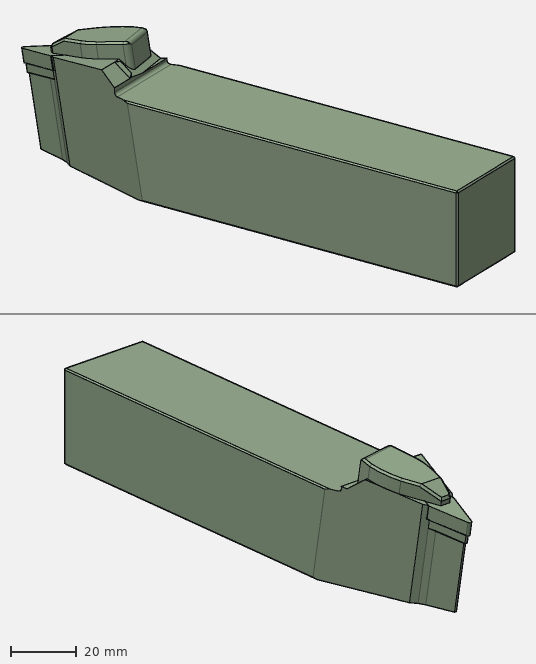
import cadquery as cq
import math

TOTAL_LENGTH = 170.0
SHANK_WIDTH = 32.0
SHANK_HEIGHT = 32.0
SHANK_CHAMFER = 0.5
HALF_WIDTH = SHANK_WIDTH / 2

TILT = 10.0
SIN_TILT = math.sin(math.radians(TILT))
COS_TILT = math.cos(math.radians(TILT))
TAN_TILT = math.tan(math.radians(TILT))

INSERT_ANGLE = 35.0
INSCRIBED_DIAMETER = 9.525
INSERT_THICKNESS = 4.76
NOSE_RADIUS = 0.8
SIN_HALF = math.sin(math.radians(INSERT_ANGLE / 2))
COS_HALF = math.cos(math.radians(INSERT_ANGLE / 2))
HALF_LONG_DIAGONAL = INSCRIBED_DIAMETER / (2 * SIN_HALF)
HALF_SHORT_DIAGONAL = INSCRIBED_DIAMETER / (2 * COS_HALF)
INSERT_CENTRE = HALF_LONG_DIAGONAL - (NOSE_RADIUS / SIN_HALF - NOSE_RADIUS)

SHIM_THICKNESS = 3.18
SHIM_NOSE = (0.9, 0.5)
SHIM_BACK = (13.6, 4.35)

HEAD_NOSE = (1.5, 0.4)
NECK_FRONT = (11.3, 3.3)
CHEEK_FRONT = (15.7, 6.0)
CHEEK_ANGLE = 17.0
CHEEK_LENGTH = (HALF_WIDTH - CHEEK_FRONT[1]) / math.tan(math.radians(CHEEK_ANGLE))
SHANK_FRONT = (CHEEK_FRONT[0] + CHEEK_LENGTH, HALF_WIDTH)

CREST_X = 37.8
CREST_Z = SHANK_HEIGHT + CREST_X * TAN_TILT
STEP_X = 43.5
STEP_Z = 34.6
STEP_FILLET = 1.2

RELIEF_SIDE_Y = -5.2
RELIEF_RAMP_WIDTH = 1.3
RELIEF_RAMP_HEIGHT = 0.7
RELIEF_SLOPE = 45.0
RELIEF_DEPTH = 5.7

CLAMP_YAW = 9.0
CLAMP_HEIGHT = 5.29
CLAMP_CHAMFER = 0.7
CLAMP_CORNER_RADIUS = 2.0
CLAMP_REAR_RADIUS = 1.5
CLAMP_NOSE = 12.2
CLAMP_NOSE_HEIGHT = 2.3
CLAMP_SLOPE_END = 18.7
CLAMP_HEEL_FRONT = 33.0
CLAMP_HEEL_DEPTH = 4.0

CLAMP_NOSE_LEFT = (CLAMP_NOSE, 1.7)
CLAMP_NOSE_RIGHT = (CLAMP_NOSE, -1.9)
CLAMP_NOSE_SHOULDER = (13.4, -2.8)
CLAMP_BELLY_FRONT = (25.5, -4.6)
CLAMP_BELLY = (28.4, -4.75)
CLAMP_BELLY_BACK = (31.4, -4.45)
CLAMP_REAR_RIGHT = (42.0, -2.3)
CLAMP_REAR_WIDTH = 13.1
CLAMP_REAR_LEFT = (
    CLAMP_REAR_RIGHT[0] - CLAMP_REAR_WIDTH * math.tan(math.radians(CLAMP_YAW)),
    CLAMP_REAR_RIGHT[1] + CLAMP_REAR_WIDTH,
)
CLAMP_SIDE_BACK = (35.3, 11.2)
CLAMP_SIDE_MIDDLE = (29.5, 10.3)
CLAMP_SIDE_FRONT = (24.0, 8.4)

REACH = 2 * TOTAL_LENGTH
PRISM_RISE = SHANK_HEIGHT
MARGIN = 20.0


def tilted_plane(height=0.0):
    """Plane tilted with the insert top and raised above it by height, centred on the tip."""
    normal = (-SIN_TILT, 0, COS_TILT)
    origin = (-SIN_TILT * height, 0, SHANK_HEIGHT + COS_TILT * height)
    return cq.Plane(origin=origin, xDir=(COS_TILT, 0, SIN_TILT), normal=normal)


def mirrored_prism(half_outline, top, depth):
    """Prism hanging below the height top, its outline mirrored about the tool axis."""
    other_half = [(u, -v) for u, v in reversed(half_outline)]
    outline = cq.Workplane(tilted_plane(top)).polyline(half_outline + other_half).close()
    return outline.extrude(-depth)


def side_profile(points, start_y, end_y):
    """Solid with an outline in X and Z that spans start_y to end_y."""
    plane = cq.Workplane("XZ", origin=(0, end_y, 0))
    return plane.polyline(points).close().extrude(end_y - start_y)


def yawed_section(u, v, height):
    """Plane across the clamp at a point of the tilted frame, pointing rearward and up."""
    yawed = tilted_plane().rotated((0, 0, CLAMP_YAW))
    origin = tilted_plane().toWorldCoords((u, v, height))
    return cq.Plane(origin=origin, xDir=yawed.xDir, normal=yawed.yDir * -1)


def make_insert():
    """Rhombic insert with rounded acute corners."""
    corners = [
        (INSERT_CENTRE - HALF_LONG_DIAGONAL, 0),
        (INSERT_CENTRE, HALF_SHORT_DIAGONAL),
        (INSERT_CENTRE + HALF_LONG_DIAGONAL, 0),
        (INSERT_CENTRE, -HALF_SHORT_DIAGONAL),
    ]
    rhombus = cq.Workplane(tilted_plane()).polyline(corners).close().extrude(-INSERT_THICKNESS)
    corner_edges = rhombus.edges(cq.selectors.ParallelDirSelector(tilted_plane().zDir))
    return corner_edges.edges("<X or >X").fillet(NOSE_RADIUS)


def make_head_and_shank():
    """Wedge-shaped head that widens into the square shank, stepped down behind the crest."""
    half_plan = [
        HEAD_NOSE, NECK_FRONT, SHIM_BACK, CHEEK_FRONT, SHANK_FRONT, (REACH, HALF_WIDTH),
    ]
    prism = mirrored_prism(half_plan, PRISM_RISE, PRISM_RISE + REACH)
    profile = [
        (0, 0), (TOTAL_LENGTH, 0), (TOTAL_LENGTH, SHANK_HEIGHT), (STEP_X, SHANK_HEIGHT),
        (STEP_X, SHANK_HEIGHT + STEP_X * TAN_TILT), (0, SHANK_HEIGHT),
    ]
    body = prism.intersect(side_profile(profile, -HALF_WIDTH, HALF_WIDTH))
    shank_edges = body.edges("|X").add(body.faces(">X").edges())
    return shank_edges.chamfer(SHANK_CHAMFER)


def make_shim():
    """Shim with a blunt nose that overhangs the head under the insert."""
    half_plan = [SHIM_NOSE, SHIM_BACK]
    return mirrored_prism(half_plan, -INSERT_THICKNESS, SHIM_THICKNESS)


def make_crest_bevel():
    """Cutter that slopes the back of the head down to the step on the -Y side."""
    slope = [
        (CREST_X, CREST_Z), (STEP_X, STEP_Z), (STEP_X + MARGIN, STEP_Z),
        (STEP_X + MARGIN, CREST_Z + MARGIN), (CREST_X, CREST_Z + MARGIN),
    ]
    cutter = side_profile(slope, -HALF_WIDTH, RELIEF_SIDE_Y)
    slope_middle = ((CREST_X + STEP_X) / 2, RELIEF_SIDE_Y, (CREST_Z + STEP_Z) / 2)
    slope_edge = cutter.edges(cq.selectors.NearestToPointSelector(slope_middle))
    return slope_edge.chamfer(RELIEF_RAMP_HEIGHT, RELIEF_RAMP_WIDTH)


def make_clamp_relief():
    """Cutter for the sloped relief behind the clamp, with a floor parallel to the insert top."""
    slope_run = RELIEF_DEPTH / math.tan(math.radians(RELIEF_SLOPE))
    section = [
        (0, 0), (slope_run, -RELIEF_DEPTH), (slope_run + MARGIN, -RELIEF_DEPTH),
        (slope_run + MARGIN, MARGIN), (0, MARGIN),
    ]
    plane = yawed_section(CREST_X / COS_TILT, RELIEF_SIDE_Y, 0)
    cutter = cq.Workplane(plane).polyline(section).close().extrude(SHANK_WIDTH, both=True)
    square = [(0, 0), (REACH, 0), (REACH, REACH), (0, REACH)]
    return cutter.intersect(side_profile(square, RELIEF_SIDE_Y, HALF_WIDTH))


def make_rear_rounding():
    """Cutter that rounds the top rear edge of the clamp."""
    radius = CLAMP_REAR_RADIUS
    bulge = radius * (1 - math.sqrt(0.5))
    return (
        cq.Workplane(yawed_section(*CLAMP_REAR_RIGHT, CLAMP_HEIGHT))
        .moveTo(-radius, 0)
        .threePointArc((-bulge, -bulge), (0, -radius))
        .lineTo(MARGIN, -radius)
        .lineTo(MARGIN, MARGIN)
        .lineTo(-radius, MARGIN)
        .close()
        .extrude(SHANK_WIDTH, both=True)
    )


def make_clamp():
    """Clamp over the rear of the insert, with a sloped nose and a heel down into the relief."""
    outline = (
        cq.Workplane(tilted_plane(-CLAMP_HEEL_DEPTH))
        .moveTo(*CLAMP_NOSE_LEFT)
        .lineTo(*CLAMP_NOSE_RIGHT)
        .lineTo(*CLAMP_NOSE_SHOULDER)
        .lineTo(*CLAMP_BELLY_FRONT)
        .threePointArc(CLAMP_BELLY, CLAMP_BELLY_BACK)
        .lineTo(*CLAMP_REAR_RIGHT)
        .lineTo(*CLAMP_REAR_LEFT)
        .lineTo(*CLAMP_SIDE_BACK)
        .threePointArc(CLAMP_SIDE_MIDDLE, CLAMP_SIDE_FRONT)
        .close()
    )
    frame = tilted_plane()
    upright = cq.selectors.ParallelDirSelector(frame.zDir)
    top = cq.selectors.DirectionMinMaxSelector(frame.zDir, True)
    block = outline.extrude(CLAMP_HEEL_DEPTH + CLAMP_HEIGHT)
    block = block.edges(upright).edges(">X").fillet(CLAMP_CORNER_RADIUS)
    side_plane = cq.Plane(origin=frame.origin, xDir=frame.xDir, normal=(0, -1, 0))
    nose_slope = [
        (0, CLAMP_NOSE_HEIGHT), (CLAMP_NOSE, CLAMP_NOSE_HEIGHT), (CLAMP_SLOPE_END, CLAMP_HEIGHT),
        (CLAMP_SLOPE_END, CLAMP_HEIGHT + MARGIN), (0, CLAMP_HEIGHT + MARGIN),
    ]
    below_seat = [(0, 0), (CLAMP_HEEL_FRONT, 0), (CLAMP_HEEL_FRONT, -MARGIN), (0, -MARGIN)]
    for points in (nose_slope, below_seat):
        cutter = cq.Workplane(side_plane).polyline(points).close().extrude(SHANK_WIDTH, both=True)
        block = block.cut(cutter)

    slope_middle = ((CLAMP_NOSE + CLAMP_SLOPE_END) / 2, 0, (CLAMP_NOSE_HEIGHT + CLAMP_HEIGHT) / 2)
    slope = cq.selectors.NearestToPointSelector(frame.toWorldCoords(slope_middle))
    ridge = block.faces(top).edges("|Y").val()
    rim = block.faces(slope).edges().add(block.faces(top).edges()).vals()
    outer_rim = [edge for edge in rim if not edge.isSame(ridge)]
    block = block.newObject(outer_rim).chamfer(CLAMP_CHAMFER)
    return block.cut(make_rear_rounding())


def make_holder(insert):
    """Toolholder with its shim and clamp, and a seat that fits the insert."""
    holder = make_head_and_shank().cut(make_crest_bevel()).cut(make_clamp_relief())
    step_foot = cq.selectors.NearestToPointSelector((STEP_X, 0, SHANK_HEIGHT))
    holder = holder.edges(step_foot).fillet(STEP_FILLET)
    holder = holder.union(make_shim()).union(make_clamp())
    return holder.cut(insert)


insert = make_insert()
holder = make_holder(insert)
result = cq.Compound.makeCompound([holder.val(), insert.val()])